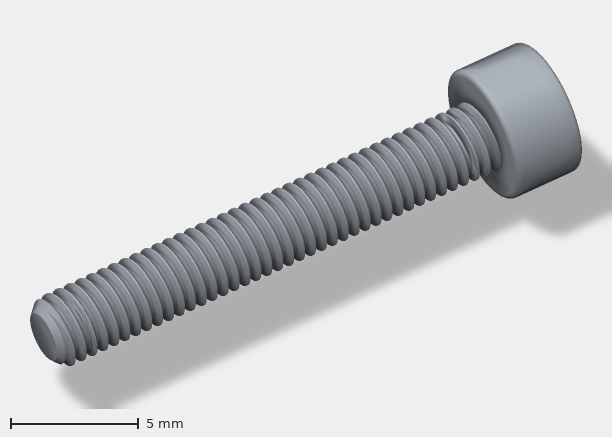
import cadquery as cq
import math

overall_length = 23.0
head_diameter = 5.5
thread_diameter = 3.0
head_length = thread_diameter
head_edge_radius = 0.2
tip_flat_diameter = 2.05

turns_per_diameter = 6
pitch = thread_diameter / turns_per_diameter
crest_width = pitch / 8
root_width = pitch / 4
flank_angle = math.radians(30)
thread_depth = (pitch - crest_width - root_width) / 2 / math.tan(flank_angle)
ridge_start = -0.212
ridge_embed = 0.02

thread_radius = thread_diameter / 2
root_radius = thread_radius - thread_depth
shank_length = overall_length - head_length


def make_head():
    """Plain cylindrical head with both rims rounded."""
    blank = cq.Workplane("XY", origin=(0, 0, shank_length)).circle(head_diameter / 2).extrude(head_length)
    return blank.faces("<Z or >Z").edges().fillet(head_edge_radius)


def make_core():
    """Shank at root diameter, reaching past the end of the ridge inside the head."""
    return cq.Workplane("XY").circle(root_radius).extrude(shank_length + 2 * pitch)


def make_thread_ridge():
    """Right-handed ridge running from below the tip to inside the head."""
    ridge_length = shank_length + pitch - ridge_start
    helix = cq.Wire.makeHelix(pitch, ridge_length, root_radius, cq.Vector(0, 0, ridge_start))
    foot_radius = root_radius - ridge_embed
    crest_half = crest_width / 2
    foot_half = crest_half + (thread_radius - foot_radius) * math.tan(flank_angle)
    profile = cq.Workplane("XZ").polyline([
        (foot_radius, ridge_start - foot_half),
        (thread_radius, ridge_start - crest_half),
        (thread_radius, ridge_start + crest_half),
        (foot_radius, ridge_start + foot_half),
    ]).close()
    ridge = profile.sweep(cq.Workplane(helix), isFrenet=True)
    return ridge.rotate((0, 0, 0), (0, 0, 1), 180)


def make_tip_cutter():
    """Everything outside the 45 degree tip cone and below the end face."""
    cutter_radius = head_diameter / 2
    cutter_bottom = -2 * pitch
    tip_radius = tip_flat_diameter / 2
    outline = cq.Workplane("XZ").polyline([
        (0, cutter_bottom),
        (cutter_radius, cutter_bottom),
        (cutter_radius, cutter_radius - tip_radius),
        (tip_radius, 0),
        (0, 0),
    ]).close()
    return outline.revolve(360, (0, 0, 0), (0, 1, 0))


shank = make_core().union(make_thread_ridge(), clean=False)
pointed_shank = shank.cut(make_tip_cutter(), clean=False)
screw = make_head().union(pointed_shank, clean=False)
result = screw.rotate((0, 0, 0), (1, 0, 0), -90)